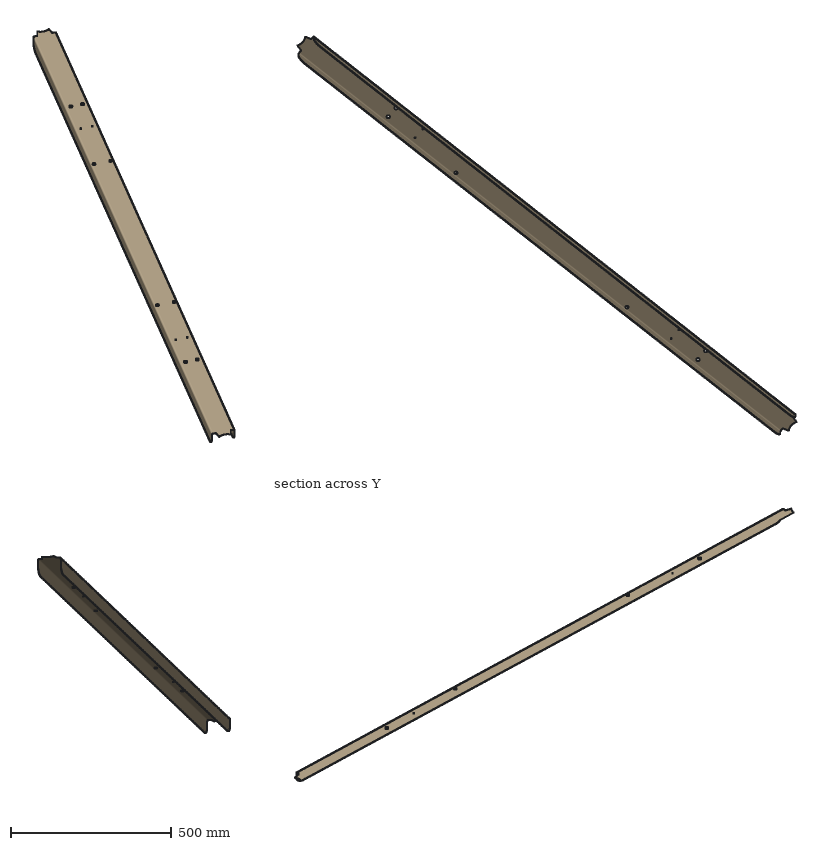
import cadquery as cq
length = 2000.0
width = 76.0
height = 50.0
thickness = 2.0
bend_radius = 6.0
inner_bend_radius = bend_radius - thickness

flange_setback = 20.0
flange_corner = 28.0

tongue_length = 18.0
tongue_root_width = 48.0
tongue_tip_width = 38.0
tongue_end_hollow = 6.0

large_hole_x, large_hole_y, large_hole_diameter = 630.0, 19.0, 10.0
small_hole_x, small_hole_y, small_hole_diameter = 521.0, 19.0, 3.0
edge_hole_x, edge_hole_y, edge_hole_diameter = 348.0, 27.0, 9.0

web_bottom = height - thickness
flange_length = length - 2 * flange_setback


def four_places(x, y):
    """Points mirrored about both centre lines of the web."""
    return [(sx * x, sy * y) for sx in (-1, 1) for sy in (-1, 1)]


def make_channel():
    """Bent U section with rounded lower flange corners."""
    outer = (
        cq.Workplane("XY")
        .box(flange_length, width, height, centered=(True, True, False))
        .edges("|X and >Z")
        .fillet(bend_radius)
        .edges("|Y and <Z")
        .fillet(flange_corner)
    )
    inner = (
        cq.Workplane("XY")
        .box(length, width - 2 * thickness, web_bottom, centered=(True, True, False))
        .edges("|X and >Z")
        .fillet(inner_bend_radius)
    )
    return outer.cut(inner)


def make_tongues():
    """Flat strip along the web whose tapered, hollow ends form the two tongues."""
    tip_x = length / 2
    root_x = tip_x - tongue_length
    hollow_x = tip_x - tongue_end_hollow
    root_y = tongue_root_width / 2
    tip_y = tongue_tip_width / 2
    return (
        cq.Workplane("XY")
        .workplane(offset=web_bottom)
        .moveTo(-root_x, -root_y)
        .lineTo(root_x, -root_y)
        .lineTo(tip_x, -tip_y)
        .threePointArc((hollow_x, 0), (tip_x, tip_y))
        .lineTo(root_x, root_y)
        .lineTo(-root_x, root_y)
        .lineTo(-tip_x, tip_y)
        .threePointArc((-hollow_x, 0), (-tip_x, -tip_y))
        .close()
        .extrude(thickness)
    )


def make_holes(x, y, diameter):
    """Cutters for four equal round holes through the web."""
    return (
        cq.Workplane("XY")
        .workplane(offset=web_bottom)
        .pushPoints(four_places(x, y))
        .circle(diameter / 2)
        .extrude(thickness)
    )


result = make_channel().union(make_tongues())
for x, y, diameter in (
    (large_hole_x, large_hole_y, large_hole_diameter),
    (small_hole_x, small_hole_y, small_hole_diameter),
    (edge_hole_x, edge_hole_y, edge_hole_diameter),
):
    result = result.cut(make_holes(x, y, diameter))